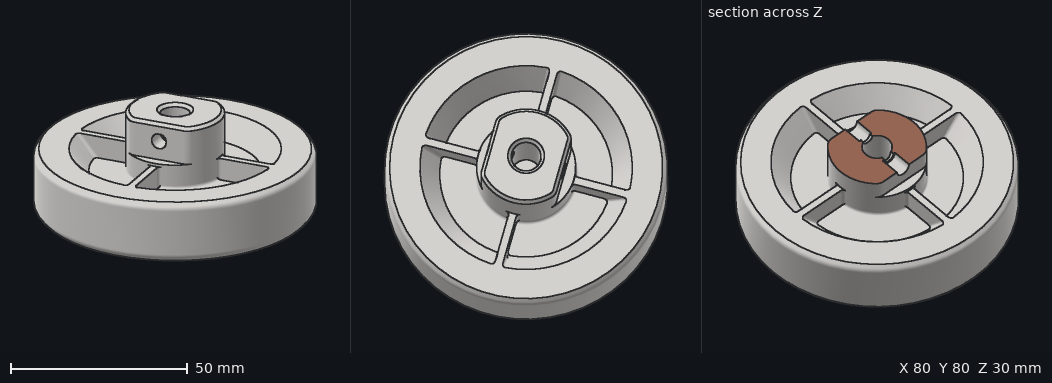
import cadquery as cq
import math

rim_radius = 80.0 / 2
disc_height = 18.0
edge_bevel = 1.4
edge_round = 2.0
bevel_angle = 45

recess_top_radius = 30.0
recess_floor_radius = 24.4
recess_depth = 6.6
recess_floor_z = disc_height - recess_depth
rib_width = 2.2
pocket_corner_fillet = 1.0

hub_radius = 28.0 / 2
hub_top_z = 30.0
hub_bevel = 1.0
hub_root_fillet = 1.0

flat_spacing = 22.0
flat_floor_z = 18.9
flat_corner_round = 3.0

bore_radius = 8.4 / 2
bore_bevel = 1.0
bore_depth = hub_top_z - recess_floor_z

pin_hole_radius = 3.3 / 2
pin_hole_z = 24.5
counterbore_radius = 4.5 / 2
counterbore_depth = 7.5


def revolve_about_z(half_outline):
    """Close an outline drawn in the XZ plane and spin it about the Z axis."""
    return half_outline.close().revolve(360, (0, 0, 0), (0, 1, 0))


def round_edge_offsets(turn):
    """Inset from the tread and height above it after the edge arc has turned by `turn` degrees."""
    angle = math.radians(turn)
    return edge_round * (1 - math.cos(angle)), edge_round * math.sin(angle)


def wheel_disc():
    """Disc whose two outer edges are bevelled and rounded into the upright tread."""
    mid_inset, mid_rise = round_edge_offsets(bevel_angle / 2)
    end_inset, end_rise = round_edge_offsets(bevel_angle)
    bevel_rise = edge_bevel - end_inset
    face_radius = rim_radius - edge_bevel
    tread_low_z = bevel_rise + end_rise
    tread_high_z = disc_height - tread_low_z
    outline = (
        cq.Workplane("XZ")
        .lineTo(face_radius, 0)
        .lineTo(rim_radius - end_inset, bevel_rise)
        .threePointArc((rim_radius - mid_inset, tread_low_z - mid_rise), (rim_radius, tread_low_z))
        .lineTo(rim_radius, tread_high_z)
        .threePointArc(
            (rim_radius - mid_inset, tread_high_z + mid_rise),
            (rim_radius - end_inset, tread_high_z + end_rise),
        )
        .lineTo(face_radius, disc_height)
        .lineTo(0, disc_height)
    )
    return revolve_about_z(outline)


def recess_pockets():
    """Four pockets between the hub, the crossing ribs and the conical wall."""
    cone = revolve_about_z(
        cq.Workplane("XZ")
        .moveTo(0, recess_floor_z)
        .lineTo(recess_floor_radius, recess_floor_z)
        .lineTo(recess_top_radius, disc_height)
        .lineTo(0, disc_height)
    )
    rib_length = 2 * rim_radius
    rib_along_x = cq.Workplane("XY").rect(rib_length, rib_width).extrude(disc_height)
    rib_along_y = cq.Workplane("XY").rect(rib_width, rib_length).extrude(disc_height)
    hub_core = cq.Workplane("XY").circle(hub_radius).extrude(disc_height)
    pockets = cone.cut(rib_along_x).cut(rib_along_y).cut(hub_core)
    return pockets.edges("not (<Z or >Z)").fillet(pocket_corner_fillet)


def hub():
    """Round hub with a root fillet, two flats with rounded corners and a bevelled top edge."""
    arc_inset = hub_root_fillet * (1 - math.sin(math.radians(45)))
    body = revolve_about_z(
        cq.Workplane("XZ")
        .moveTo(0, recess_floor_z)
        .lineTo(hub_radius + hub_root_fillet, recess_floor_z)
        .threePointArc(
            (hub_radius + arc_inset, recess_floor_z + arc_inset),
            (hub_radius, recess_floor_z + hub_root_fillet),
        )
        .lineTo(hub_radius, hub_top_z)
        .lineTo(0, hub_top_z)
    )
    floor_plane = cq.Workplane("XY").workplane(offset=flat_floor_z)
    waste_width = 2 * hub_radius
    waste_centre_y = (flat_spacing + waste_width) / 2
    for side in (-1, 1):
        waste = (
            floor_plane.center(0, side * waste_centre_y)
            .rect(waste_width, waste_width)
            .extrude(hub_top_z - flat_floor_z)
        )
        body = body.cut(waste)
    body = body.edges("|Z").edges("<Y or >Y").fillet(flat_corner_round)
    return body.faces(">Z").edges().chamfer(hub_bevel)


def bore():
    """Blind bore down the hub axis with a bevelled mouth."""
    outline = (
        cq.Workplane("XZ")
        .moveTo(0, hub_top_z - bore_depth)
        .lineTo(bore_radius, hub_top_z - bore_depth)
        .lineTo(bore_radius, hub_top_z - bore_bevel)
        .lineTo(bore_radius + bore_bevel, hub_top_z)
        .lineTo(0, hub_top_z)
    )
    return revolve_about_z(outline)


def pin_hole():
    """Cross hole through the bore with a counterbore sunk from each flat."""
    half_spacing = flat_spacing / 2
    axis_plane = cq.Workplane("XZ").center(0, pin_hole_z)
    hole = axis_plane.circle(pin_hole_radius).extrude(half_spacing, both=True)
    for outer_offset, inward in ((half_spacing, -0.8), (-half_spacing, 0.8)):
        counterbore = (
            axis_plane.workplane(offset=outer_offset)
            .circle(counterbore_radius)
            .extrude(inward * counterbore_depth)
        )
        hole = hole.union(counterbore)
    return hole


wheel = wheel_disc().cut(recess_pockets()).union(hub())
result = wheel.cut(bore()).cut(pin_hole())